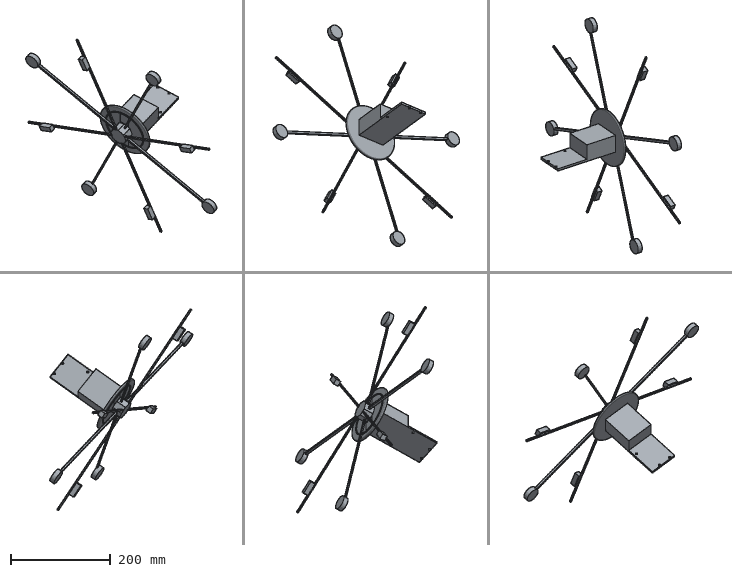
import cadquery as cq
import math


HALF_SPAN = 231.0

PLATE_RADIUS = 60.0
PLATE_THICKNESS = 4.5
RIM_FILLET = 1.0
GROOVE_OUTER_RADIUS = 46.5
GROOVE_INNER_RADIUS = 45.0
GROOVE_DEPTH = 1.5
STRIP_WIDTH = 20.5
STRIP_HEIGHT = 0.5

BOX_WIDTH = 60.0
BOX_HEIGHT = 38.0
BOX_LENGTH = 70.0
SHELF_LENGTH = 70.0
SHELF_THICKNESS = 5.0
SHELF_HOLE_DIAMETER = 4.0
REAR_HOLE_XS = (-19.5, 8.5)
REAR_HOLE_INSET = 3.0
SIDE_HOLE_X = 24.0
SIDE_HOLE_INSET = 54.0

HUB_SIDES = 8
HUB_RADIUS = 19.0
HUB_LENGTH = 21.5

WEIGHT_RADIUS = 15.0
WEIGHT_THICKNESS = 10.0

SLIM_BAR_SIDE = 3.2
THICK_BAR_SIDE = 4.5
SLIM_BAR_REAR_Y = -5.0
THICK_BAR_REAR_Y = -9.0
FRONT_BAR_FACE_Y = -20.5
FRONT_BAR_LENGTH = 488.5
WEIGHT_BAR_TILT = 20.0
FRONT_BAR_TILT = 25.0

BLOCK_LENGTH = 27.5
BLOCK_SIDE = 11.0
BLOCK_OFFSET = 189.7

BRACKET_LENGTH = BOX_LENGTH + SHELF_LENGTH
BRACKET_REAR_Y = PLATE_THICKNESS + BRACKET_LENGTH
BOX_BOTTOM_Z = -BOX_HEIGHT / 2
SLIM_BAR_Y = SLIM_BAR_REAR_Y - SLIM_BAR_SIDE / 2
THICK_BAR_Y = THICK_BAR_REAR_Y - THICK_BAR_SIDE / 2
FRONT_BAR_Y = FRONT_BAR_FACE_Y + SLIM_BAR_SIDE / 2
WEIGHT_OFFSET = (HALF_SPAN - WEIGHT_RADIUS) / math.cos(math.radians(WEIGHT_BAR_TILT))
WEIGHT_BAR_LENGTH = 2 * (WEIGHT_OFFSET - WEIGHT_RADIUS)
SLIM_BAR_ANGLE = 90 - WEIGHT_BAR_TILT
THICK_BAR_ANGLE = 180 - WEIGHT_BAR_TILT
FRONT_BAR_ANGLES = (FRONT_BAR_TILT, FRONT_BAR_TILT + 90)


def disc(radius, front_y, thickness):
    """Round disc on the Y axis, from its front face backwards."""
    return cq.Workplane("XZ", origin=(0, front_y, 0)).circle(radius).extrude(-thickness)


def turned(shape, angle):
    """Shape turned about the hub axis, from +X towards +Z."""
    return shape.rotate((0, 0, 0), (0, -1, 0), angle)


def make_plate():
    plate = disc(PLATE_RADIUS, 0, PLATE_THICKNESS).edges().fillet(RIM_FILLET)
    groove = disc(GROOVE_OUTER_RADIUS, 0, GROOVE_DEPTH).cut(disc(GROOVE_INNER_RADIUS, 0, GROOVE_DEPTH))
    return plate.cut(groove)


def make_strips():
    """Raised strips above and below the hub, rounded where they end at the groove."""
    strip_size = (STRIP_WIDTH, 2 * STRIP_HEIGHT, 2 * GROOVE_INNER_RADIUS)
    strips = cq.Workplane("XY").box(*strip_size)
    hub_gap = cq.Workplane("XY").box(STRIP_WIDTH, 2 * STRIP_HEIGHT, 2 * HUB_RADIUS)
    return strips.intersect(disc(GROOVE_INNER_RADIUS, -STRIP_HEIGHT, 2 * STRIP_HEIGHT)).cut(hub_gap)


def make_bracket():
    step_y = PLATE_THICKNESS + BOX_LENGTH
    step_z = BOX_BOTTOM_Z + SHELF_THICKNESS
    profile = [
        (PLATE_THICKNESS, BOX_BOTTOM_Z),
        (BRACKET_REAR_Y, BOX_BOTTOM_Z),
        (BRACKET_REAR_Y, step_z),
        (step_y, step_z),
        (step_y, -BOX_BOTTOM_Z),
        (PLATE_THICKNESS, -BOX_BOTTOM_Z),
    ]
    bracket = cq.Workplane("YZ").polyline(profile).close().extrude(BOX_WIDTH / 2, both=True)
    hole_places = [(x, BRACKET_REAR_Y - REAR_HOLE_INSET) for x in REAR_HOLE_XS]
    hole_places.append((SIDE_HOLE_X, BRACKET_REAR_Y - SIDE_HOLE_INSET))
    holes = (
        cq.Workplane("XY", origin=(0, 0, BOX_BOTTOM_Z))
        .pushPoints(hole_places)
        .circle(SHELF_HOLE_DIAMETER / 2)
        .extrude(SHELF_THICKNESS)
    )
    return bracket.cut(holes)


def make_hub():
    hub = cq.Workplane("XZ").polygon(HUB_SIDES, 2 * HUB_RADIUS)
    return hub.extrude(HUB_LENGTH)


def make_bar(length, side, centre_y, angle):
    """Square bar through the hub axis."""
    return turned(cq.Workplane("XY", origin=(0, centre_y, 0)).box(length, side, side), angle)


def make_front_bar(angle):
    """Front bar with a block on its front face near each end."""
    bar = make_bar(FRONT_BAR_LENGTH, SLIM_BAR_SIDE, FRONT_BAR_Y, angle)
    blocks = (
        cq.Workplane("XZ", origin=(0, FRONT_BAR_FACE_Y, 0))
        .pushPoints([(-BLOCK_OFFSET, 0), (BLOCK_OFFSET, 0)])
        .rect(BLOCK_LENGTH, BLOCK_SIDE)
        .extrude(BLOCK_SIDE)
    )
    return bar.union(turned(blocks, angle))


def make_frame():
    """Bracket, plate, hub, bars and blocks as one body."""
    frame = make_plate().union(make_bracket()).union(make_strips()).union(make_hub())
    frame = frame.union(make_bar(WEIGHT_BAR_LENGTH, SLIM_BAR_SIDE, SLIM_BAR_Y, SLIM_BAR_ANGLE))
    frame = frame.union(make_bar(WEIGHT_BAR_LENGTH, THICK_BAR_SIDE, THICK_BAR_Y, THICK_BAR_ANGLE))
    for angle in FRONT_BAR_ANGLES:
        frame = frame.union(make_front_bar(angle))
    return frame


def make_weight(angle):
    """Round weight at the end of a bar, in line with the thick bar's centre."""
    weight = disc(WEIGHT_RADIUS, THICK_BAR_Y - WEIGHT_THICKNESS / 2, WEIGHT_THICKNESS)
    return turned(weight.translate((WEIGHT_OFFSET, 0, 0)), angle)


frame = make_frame()

weights = []
for bar_angle in (SLIM_BAR_ANGLE, THICK_BAR_ANGLE):
    for half_turn in (0, 180):
        weights.append(make_weight(bar_angle + half_turn).val())

result = cq.Compound.makeCompound([frame.solids().val(), *weights])